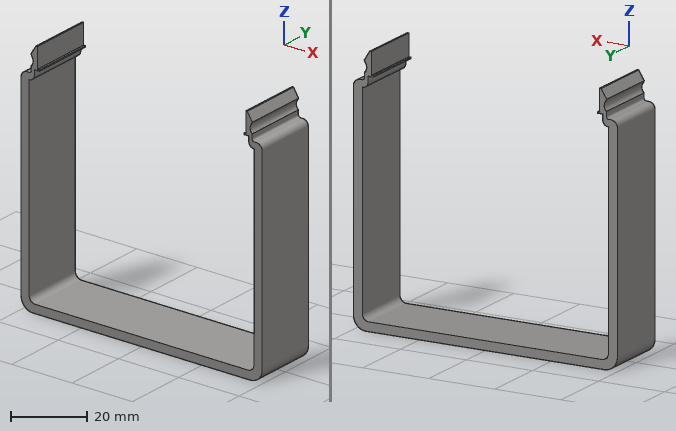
import cadquery as cq
import math

width = 80.0
depth = 20.0
height = 77.0
wall = 2.7

base_outer_radius = 4.0
base_inner_radius = 2.0
shoulder_radius = 2.0
shoulder_inner_radius = 1.8
neck_fillet_radius = 0.7

shoulder_z = 68.8
neck_outer = 3.4
neck_inner = wall + shoulder_inner_radius
blade_inner = 5.4
tip_thickness = 0.5
lip_end = 6.1
lip_bottom_z = 70.0
lip_thickness = 0.4
barb_z = 74.2
barb_outer = 3.3
groove_top_z = 73.6
groove_top_outer = 3.6
groove_bottom_z = 70.9
groove_floor = 4.0
inner_shoulder_z = 66.7 + shoulder_inner_radius

diagonal = math.sqrt(0.5)
half_width = width / 2


def arc_middle(center_x, center_z, radius, side_x, side_z):
    """Return the 45 degree point of a quarter arc in the given quadrant."""
    return (
        center_x + side_x * radius * diagonal,
        center_z + side_z * radius * diagonal,
    )


def make_left_half():
    """Extrude the left half of the clip, with its outer wall face at X = 0."""
    neck_center_x = neck_outer - neck_fillet_radius
    neck_center_z = shoulder_z + neck_fillet_radius
    shoulder_start_z = shoulder_z - shoulder_radius
    base_inner_x = wall + base_inner_radius
    base_inner_z = wall + base_inner_radius
    groove_middle_z = (groove_top_z + groove_bottom_z) / 2

    profile = (
        cq.Workplane("XZ")
        .moveTo(half_width, 0)
        .lineTo(base_outer_radius, 0)
        .threePointArc(
            arc_middle(base_outer_radius, base_outer_radius, base_outer_radius, -1, -1),
            (0, base_outer_radius),
        )
        .lineTo(0, shoulder_start_z)
        .threePointArc(
            arc_middle(shoulder_radius, shoulder_start_z, shoulder_radius, -1, 1),
            (shoulder_radius, shoulder_z),
        )
        .lineTo(neck_center_x, shoulder_z)
        .threePointArc(
            arc_middle(neck_center_x, neck_center_z, neck_fillet_radius, 1, -1),
            (neck_outer, neck_center_z),
        )
        .lineTo(neck_outer, groove_bottom_z)
        .threePointArc((groove_floor, groove_middle_z), (groove_top_outer, groove_top_z))
        .lineTo(barb_outer, barb_z)
        .lineTo(blade_inner - tip_thickness, height)
        .lineTo(blade_inner, height)
        .lineTo(blade_inner, lip_bottom_z + lip_thickness)
        .lineTo(lip_end, lip_bottom_z + lip_thickness)
        .lineTo(lip_end, lip_bottom_z)
        .lineTo(neck_inner, lip_bottom_z)
        .lineTo(neck_inner, inner_shoulder_z)
        .threePointArc(
            arc_middle(wall, inner_shoulder_z, shoulder_inner_radius, 1, -1),
            (wall, inner_shoulder_z - shoulder_inner_radius),
        )
        .lineTo(wall, base_inner_z)
        .threePointArc(
            arc_middle(base_inner_x, base_inner_z, base_inner_radius, -1, -1),
            (base_inner_x, wall),
        )
        .lineTo(half_width, wall)
        .close()
    )
    return profile.extrude(depth / 2, both=True)


left_half = make_left_half().translate((-half_width, 0, 0))
result = left_half.union(left_half.mirror("YZ")).clean()